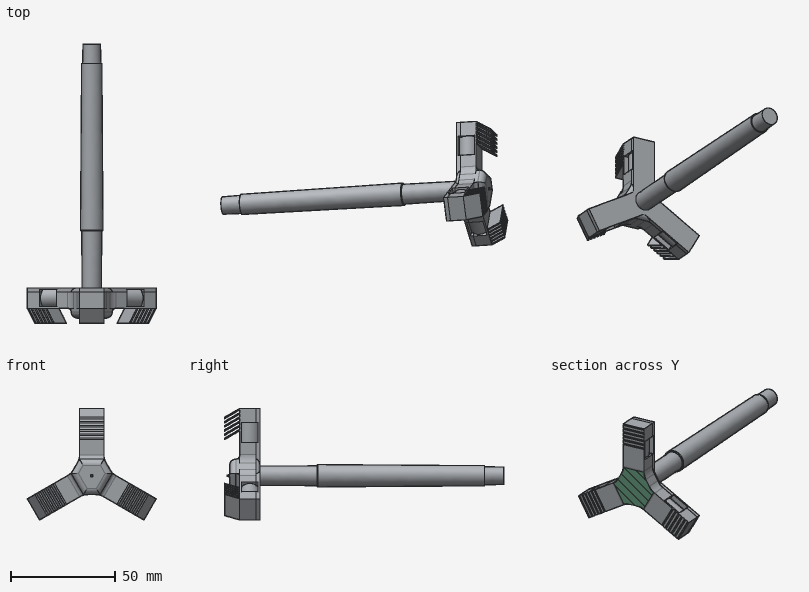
import cadquery as cq
import math


ARM_COUNT = 3
ARM_PITCH = 360 / ARM_COUNT

arm_width = 11.75
arm_depth = 9.75
overall_width = 61.75
half_width = arm_width / 2
tilt = math.radians(30)
arm_reach = (overall_width / 2 - half_width * math.sin(tilt)) / math.cos(tilt)

cover_thickness = 2.0
cover_edge_radius = 1.95

hub_arm_side = 8.0
hub_gap_side = hub_arm_side * math.sin(tilt) + half_width * math.cos(tilt)
hub_depth = 14.6
hub_edge_radius = 3.0
hub_root_radius = 2.0
arm_root_radius = 8.0
root_zone = 1.5 * hub_arm_side

TOOTH_COUNT = 6
tooth_thickness = 0.8
tooth_pitch = 2.0
tooth_depth = 7.26
tooth_lean = 4.2

slot_length = 9.4
slot_width = 8.0
slot_start = 16.0
insert_diameter = 10.0
slot_center_y = -arm_depth / 2

nozzle_base_diameter = 1.2
nozzle_tip_diameter = 0.85
nozzle_seat_depth = 3.0
nozzle_base_height = 0.4
nozzle_height = 1.2

overall_length = 133.76
handle_end = overall_length - arm_depth - tooth_depth
neck_length = 27.3
tip_length = 9.3
neck_front_diameter = 9.4
neck_back_diameter = 9.7
grip_front_diameter = 10.9
grip_front_chamfer = 0.4
grip_back_diameter = 9.85
tip_front_diameter = 8.9
tip_end_diameter = 8.5


def block(x_size, y_front, y_back, z_low, z_high):
    """Box centred on X, between two Y planes and two Z planes."""
    size = (x_size, y_back - y_front, z_high - z_low)
    return cq.Workplane("XY").box(*size).translate((0, (y_front + y_back) / 2, (z_low + z_high) / 2))


def around(shape):
    """Copies of an upright feature, one per arm."""
    return [shape.rotate((0, 0, 0), (0, 1, 0), i * ARM_PITCH) for i in range(ARM_COUNT)]


def hub_prism(y_back, depth):
    """Hub hexagon, extruded forward from y_back."""
    points = []
    for i in range(ARM_COUNT):
        turn = math.radians(-i * ARM_PITCH)
        for x in (half_width, -half_width):
            points.append((
                x * math.cos(turn) + hub_arm_side * math.sin(turn),
                hub_arm_side * math.cos(turn) - x * math.sin(turn),
            ))
    return cq.Workplane("XZ", origin=(0, y_back, 0)).polyline(points).close().extrude(depth)


def make_cover():
    """Back plate of the head, rounded along the back edges between the arms."""
    cover = hub_prism(0, cover_thickness)
    for i in range(ARM_COUNT):
        turn = math.radians((i + 0.5) * ARM_PITCH)
        gap_middle = (hub_gap_side * math.sin(turn), 0, hub_gap_side * math.cos(turn))
        cover = cover.edges(cq.selectors.NearestToPointSelector(gap_middle)).fillet(cover_edge_radius)
    for arm in around(block(arm_width, -cover_thickness, 0, 0, arm_reach)):
        cover = cover.union(arm)
    return cover


def make_hub_root():
    """Concave blend from the front face of the upright arm to the hub side."""
    r = hub_root_radius
    return (
        cq.Workplane("YZ", origin=(-half_width, 0, 0))
        .moveTo(-arm_depth, hub_arm_side)
        .lineTo(-arm_depth, hub_arm_side + r)
        .radiusArc((-arm_depth - r, hub_arm_side), r)
        .close()
        .extrude(arm_width)
    )


def tooth(z):
    """One leaning plate whose outer face starts at radius z."""
    tip = -arm_depth - tooth_depth
    outline = [
        (-arm_depth, z),
        (tip, z - tooth_lean),
        (tip, z - tooth_lean - tooth_thickness),
        (-arm_depth, z - tooth_thickness),
    ]
    return cq.Workplane("YZ", origin=(-half_width, 0, 0)).polyline(outline).close().extrude(arm_width)


def make_body():
    """Arms, hub and comb teeth in front of the cover."""
    base = hub_prism(-cover_thickness, arm_depth - cover_thickness)
    for arm in around(block(arm_width, -arm_depth, -cover_thickness, 0, arm_reach)):
        base = base.union(arm)
    root_corners = cq.selectors.BoxSelector((-root_zone, -arm_depth, -root_zone), (root_zone, 0, root_zone))
    base = base.edges("|Y").edges(root_corners).fillet(arm_root_radius)
    hub = hub_prism(-cover_thickness, hub_depth - cover_thickness)
    hub = hub.faces("<Y").edges().fillet(hub_edge_radius)
    body = base.union(hub)
    for blend in around(make_hub_root()):
        body = body.union(blend)
    for i in range(TOOTH_COUNT):
        for plate in around(tooth(arm_reach - i * tooth_pitch)):
            body = body.union(plate)
    return body


def make_slot():
    """Space of the cross slot in the upright arm, open on both sides of the arm."""
    y_front = slot_center_y - slot_width / 2
    y_back = slot_center_y + slot_width / 2
    return block(arm_width, y_front, y_back, slot_start, slot_start + slot_length)


def make_insert():
    """Round rod lying along the upright arm, flattened front and back to fit the slot."""
    rod = (
        cq.Workplane("XY", origin=(0, slot_center_y, slot_start))
        .circle(insert_diameter / 2)
        .extrude(slot_length)
    )
    return rod.intersect(make_slot())


def make_nozzle():
    seat = cq.Workplane("XZ", origin=(0, nozzle_seat_depth - hub_depth, 0))
    base = seat.circle(nozzle_base_diameter / 2).extrude(nozzle_seat_depth + nozzle_base_height)
    tip = base.faces("<Y").workplane().circle(nozzle_tip_diameter / 2)
    return tip.extrude(nozzle_height - nozzle_base_height)


def turned(outline):
    """Solid of revolution about the Y axis."""
    return cq.Workplane("XY").polyline(outline).close().revolve(360, (0, 0, 0), (0, 1, 0))


def make_neck():
    outline = [
        (0, 0),
        (neck_front_diameter / 2, 0),
        (neck_back_diameter / 2, neck_length),
        (0, neck_length),
    ]
    return turned(outline)


def make_grip():
    step = handle_end - tip_length
    outline = [
        (0, neck_length),
        (grip_front_diameter / 2 - grip_front_chamfer, neck_length),
        (grip_front_diameter / 2, neck_length + grip_front_chamfer),
        (grip_back_diameter / 2, step),
        (tip_front_diameter / 2, step),
        (tip_end_diameter / 2, handle_end),
        (0, handle_end),
    ]
    return turned(outline)


nozzle = make_nozzle()
cover = make_cover()
body = make_body().cut(nozzle)
for cross_slot in around(make_slot()):
    cover = cover.cut(cross_slot)
    body = body.cut(cross_slot)
inserts = around(make_insert())
neck = make_neck()
grip = make_grip()

result = cq.Compound.makeCompound([
    cover.val(),
    body.val(),
    nozzle.val(),
    neck.val(),
    grip.val(),
    *[insert.val() for insert in inserts],
])